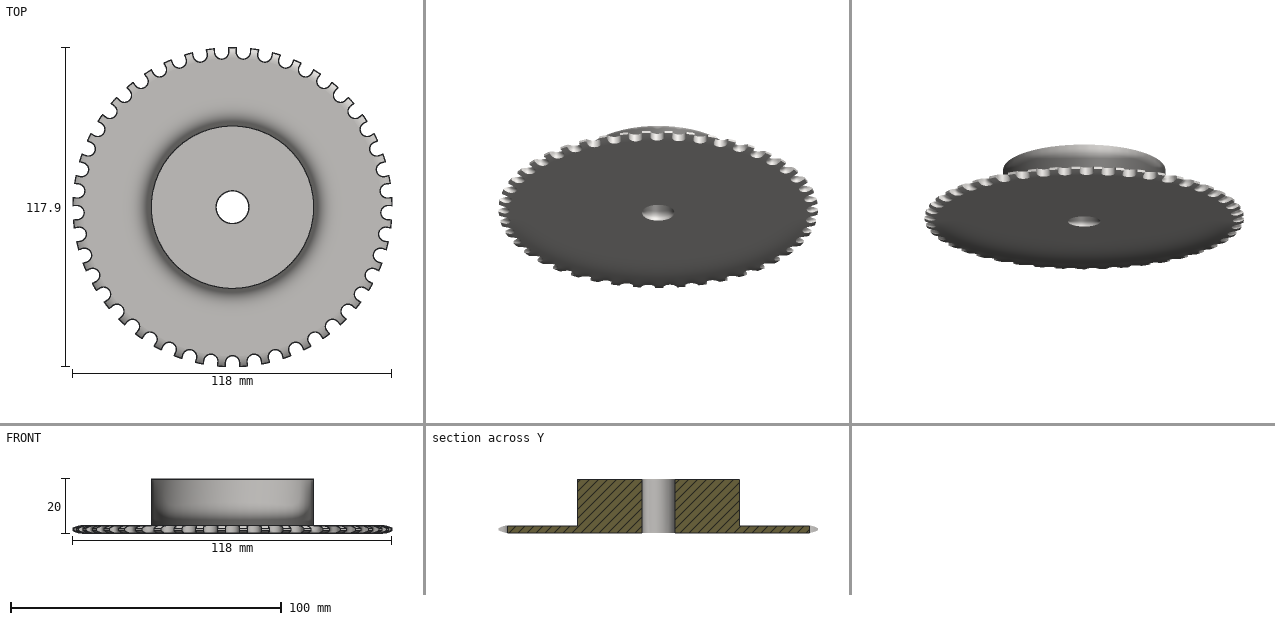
import cadquery as cq
import math

tooth_count = 45
tip_diameter = 118.0
plate_thickness = 2.8
total_height = 20.0
hub_diameter = 60.0
bore_diameter = 12.0
chain_pitch = 8.0
gap_width = 5.2
flat_face_diameter = 110.3
tip_thickness = 0.8

tooth_angle = 360 / tooth_count
tip_radius = tip_diameter / 2
pitch_radius = chain_pitch / 2 / math.sin(math.radians(tooth_angle / 2))
first_gap_angle = 90 + tooth_angle / 2


def make_blank():
    """Disc with its rim rounded off on both sides, from z = 0 up."""
    face_radius = flat_face_diameter / 2
    tip_bottom = (plate_thickness - tip_thickness) / 2
    tip_top = plate_thickness - tip_bottom
    taper_width = tip_radius - face_radius
    arc_radius = (taper_width**2 + tip_bottom**2) / (2 * tip_bottom)
    half_sweep = math.asin(taper_width / arc_radius) / 2
    arc_mid_radius = face_radius + arc_radius * math.sin(half_sweep)
    arc_mid_drop = arc_radius * (1 - math.cos(half_sweep))
    return (
        cq.Workplane("XZ")
        .lineTo(face_radius, 0)
        .threePointArc((arc_mid_radius, arc_mid_drop), (tip_radius, tip_bottom))
        .lineTo(tip_radius, tip_top)
        .threePointArc(
            (arc_mid_radius, plate_thickness - arc_mid_drop), (face_radius, plate_thickness)
        )
        .lineTo(0, plate_thickness)
        .close()
        .revolve(360, (0, 0), (0, 1))
    )


def make_tooth_gaps():
    """Round-bottomed, parallel-sided cutters, one between each pair of teeth."""
    seat_radius = gap_width / 2
    outer_radius = tip_radius + gap_width
    gap = (
        cq.Workplane("XY")
        .moveTo(outer_radius, -seat_radius)
        .lineTo(pitch_radius, -seat_radius)
        .threePointArc((pitch_radius - seat_radius, 0), (pitch_radius, seat_radius))
        .lineTo(outer_radius, seat_radius)
        .close()
        .extrude(plate_thickness)
    )
    gaps = cq.Workplane("XY")
    for index in range(tooth_count):
        angle = first_gap_angle + index * tooth_angle
        gaps = gaps.add(gap.rotate((0, 0, 0), (0, 0, 1), angle))
    return gaps.combine()


sprocket = make_blank().cut(make_tooth_gaps())
hub = cq.Workplane("XY").circle(hub_diameter / 2).extrude(total_height)
bore = cq.Workplane("XY").circle(bore_diameter / 2).extrude(total_height)

result = sprocket.union(hub).cut(bore)